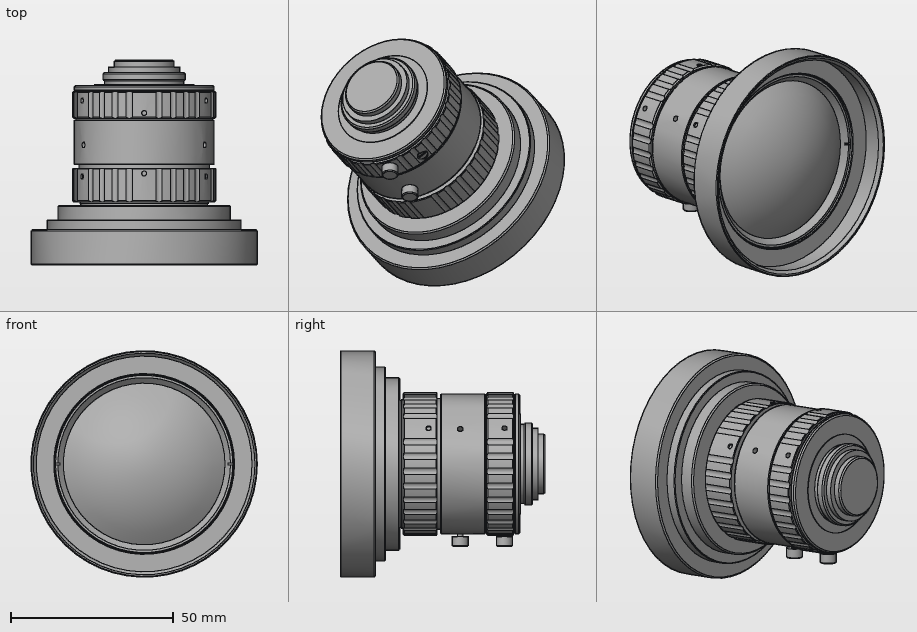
import cadquery as cq
import math


HOOD_R = 34.75
FRONT_STEP_R = 29.8
FRONT_BARREL_R = 26.5
FOCUS_NECK_R = 39.5 / 2
FOCUS_NECK_GROOVE_R = 19.5
RING_R = 22.0
MIDDLE_NECK_R = 20.1
BARREL_R = 21.5
RING_GAP_R = 21.0
REAR_DISC_R = 15.3
MOUNT_NECK_R = 24.4 / 2
MOUNT_FLANGE_R = 12.65
MOUNT_STEP_R = 22.0 / 2
MOUNT_TIP_R = 18.4 / 2

HOOD_END = 10.8
FRONT_STEP_END = 13.85
FRONT_BARREL_END = 18.3
FOCUS_NECK_GROOVE_END = 18.85
FRONT_RING_START = 19.25
FRONT_RING_END = 29.65
MIDDLE_BARREL_START = 30.75
MIDDLE_BARREL_END = 44.5
REAR_RING_START = 44.9
REAR_RING_END = 53.15
REAR_CAP_START = 53.45
REAR_CAP_END = 55.1
REAR_DISC_END = 55.3
MOUNT_NECK_END = 56.4
MOUNT_FLANGE_END = 59.05
MOUNT_STEP_END = 60.7
TOTAL_LENGTH = 62.87

SMALL_CHAMFER = 0.25
LARGE_CHAMFER = 0.45

HOOD_MOUTH_R = 34.0
HOOD_BORE_R = 33.1
HOOD_TAPER_DEPTH = 1.2
HOOD_FLOOR_DEPTH = 6.85
RETAINER_SEAT_R = 27.5
RETAINER_R = 27.2
RETAINER_FACE_DEPTH = 7.6
RETAINER_CONE_R = 26.5
GLASS_R = 24.8
GLASS_EDGE_DEPTH = 9.45
GLASS_APEX_DEPTH = 0.3
SPANNER_SLOT_INNER_R = 25.8
SPANNER_SLOT_WIDTH = 0.65
SPANNER_SLOT_DEPTH = 1.5

FLUTE_COUNT = 30
FLUTE_PITCH = 360 / FLUTE_COUNT
FLUTE_WIDTH = 2.0
FLUTE_CUTTER_R = 3.0 / 2
PLAIN_LAND_ANGLES = (30, 90, 150, 270)

SCREW_HOLE_ANGLES = (30, 150)
LOCK_SCREW_ANGLE = 270
FRONT_SCREW_Y = 27.1
MIDDLE_SCREW_Y = 36.8
REAR_SCREW_Y = 50.4
RING_HOLE_D = 1.57
BARREL_HOLE_D = 1.7
FRONT_HOLE_DEPTH = 0.6
SCREW_HOLE_DEPTH = 3.0
INDEX_MARK_D = 1.5
INDEX_MARK_DEPTH = 0.2
INDEX_MARK_ANGLE = 90
FRONT_MARK_Y = 28.05
REAR_MARK_Y = 46.6

STOP_POCKET_D = 3.4
STOP_POCKET_FLOOR_R = 21.5
STOP_POCKET_Y = 47.8
STOP_POCKET_ANGLE = 242.7
STOP_SLOT_WIDTH = 0.5
STOP_SLOT_LENGTH = 2.5
STOP_SLOT_DEPTH = 0.5

LOCK_HEAD_D = 5.0
LOCK_HEAD_START_R = 22.3
LOCK_HEAD_END_R = 25.3
LOCK_HEAD_CHAMFER = 0.3

CUT_MARGIN = 1.0


def stepped_section(radius, start, end, front_chamfer=0.0, rear_chamfer=0.0):
    """One disc of the lens between two axial stations, with optional chamfered edges."""
    section = cq.Workplane("XZ", origin=(0, start, 0)).circle(radius).extrude(start - end)
    if front_chamfer:
        section = section.faces("<Y").chamfer(front_chamfer)
    if rear_chamfer:
        section = section.faces(">Y").chamfer(rear_chamfer)
    return section


def radial_plane(angle, y, radius):
    """Plane facing outward, with its local X along the lens axis."""
    direction = (math.cos(math.radians(angle)), 0, math.sin(math.radians(angle)))
    origin = (radius * direction[0], y, radius * direction[2])
    return cq.Plane(origin=origin, xDir=(0, 1, 0), normal=direction)


def radial_cylinder(angle, y, diameter, inner_r, outer_r):
    plane = radial_plane(angle, y, inner_r)
    return cq.Workplane(plane).circle(diameter / 2).extrude(outer_r - inner_r)


def grip_ring(start, end):
    """Ring with concave flutes, left plain where it carries marks and screws."""
    ring = stepped_section(RING_R, start, end, LARGE_CHAMFER, SMALL_CHAMFER)
    half_width = FLUTE_WIDTH / 2
    edge_r = math.sqrt(RING_R**2 - half_width**2)
    axis_r = edge_r + math.sqrt(FLUTE_CUTTER_R**2 - half_width**2)
    for index in range(FLUTE_COUNT):
        angle = (index + 0.5) * FLUTE_PITCH
        if angle in PLAIN_LAND_ANGLES:
            continue
        x = axis_r * math.cos(math.radians(angle))
        z = axis_r * math.sin(math.radians(angle))
        flute = cq.Workplane("XZ", origin=(x, start, z)).circle(FLUTE_CUTTER_R).extrude(start - end)
        ring = ring.cut(flute)
    return ring


def hood_hollow():
    """Hood cavity, retainer recess and the space in front of the domed glass."""
    sagitta = GLASS_EDGE_DEPTH - GLASS_APEX_DEPTH
    dome_r = (GLASS_R**2 + sagitta**2) / (2 * sagitta)
    mid_r = GLASS_R / 2
    mid_depth = GLASS_APEX_DEPTH + dome_r - math.sqrt(dome_r**2 - mid_r**2)
    return (
        cq.Workplane("XY")
        .moveTo(0, -CUT_MARGIN)
        .lineTo(HOOD_MOUTH_R, -CUT_MARGIN)
        .lineTo(HOOD_MOUTH_R, 0)
        .lineTo(HOOD_BORE_R, HOOD_TAPER_DEPTH)
        .lineTo(HOOD_BORE_R, HOOD_FLOOR_DEPTH)
        .lineTo(RETAINER_SEAT_R + SMALL_CHAMFER, HOOD_FLOOR_DEPTH)
        .lineTo(RETAINER_SEAT_R, HOOD_FLOOR_DEPTH + SMALL_CHAMFER)
        .lineTo(RETAINER_SEAT_R, RETAINER_FACE_DEPTH + SMALL_CHAMFER)
        .lineTo(RETAINER_R, RETAINER_FACE_DEPTH)
        .lineTo(RETAINER_CONE_R, RETAINER_FACE_DEPTH)
        .lineTo(GLASS_R, GLASS_EDGE_DEPTH)
        .threePointArc((mid_r, mid_depth), (0, GLASS_APEX_DEPTH))
        .close()
        .revolve(360, (0, 0, 0), (0, 1, 0))
    )


def spanner_slots():
    """Pair of slots across the retainer, on the +X and -X sides."""
    length = RETAINER_R - SPANNER_SLOT_INNER_R
    center_x = (RETAINER_R + SPANNER_SLOT_INNER_R) / 2
    return (
        cq.Workplane("XZ", origin=(0, RETAINER_FACE_DEPTH, 0))
        .pushPoints([(-center_x, 0), (center_x, 0)])
        .rect(length, SPANNER_SLOT_WIDTH)
        .extrude(-SPANNER_SLOT_DEPTH)
    )


def stop_screw_recess():
    """Round flat-floored pocket with a screwdriver slot across its floor."""
    pocket = radial_cylinder(
        STOP_POCKET_ANGLE, STOP_POCKET_Y, STOP_POCKET_D, STOP_POCKET_FLOOR_R, RING_R + CUT_MARGIN
    )
    slot = (
        cq.Workplane(radial_plane(STOP_POCKET_ANGLE, STOP_POCKET_Y, STOP_POCKET_FLOOR_R))
        .rect(STOP_SLOT_WIDTH, STOP_SLOT_LENGTH)
        .extrude(-STOP_SLOT_DEPTH)
    )
    return pocket.union(slot)


def make_lock_screw(y, shank_d, shank_start_r):
    """Lock screw below the lens, with a shank that fills its hole."""
    shank = radial_cylinder(LOCK_SCREW_ANGLE, y, shank_d, shank_start_r, LOCK_HEAD_START_R)
    head = radial_cylinder(LOCK_SCREW_ANGLE, y, LOCK_HEAD_D, LOCK_HEAD_START_R, LOCK_HEAD_END_R)
    head = head.faces("<Z").chamfer(LOCK_HEAD_CHAMFER)
    return shank.union(head)


def make_housing():
    housing = stepped_section(HOOD_R, 0, HOOD_END, SMALL_CHAMFER, LARGE_CHAMFER)
    sections = [
        stepped_section(FRONT_STEP_R, HOOD_END, FRONT_STEP_END, 0, SMALL_CHAMFER),
        stepped_section(FRONT_BARREL_R, FRONT_STEP_END, FRONT_BARREL_END, 0, LARGE_CHAMFER),
        stepped_section(FOCUS_NECK_GROOVE_R, FRONT_BARREL_END, FOCUS_NECK_GROOVE_END),
        stepped_section(FOCUS_NECK_R, FOCUS_NECK_GROOVE_END, FRONT_RING_START),
        grip_ring(FRONT_RING_START, FRONT_RING_END),
        stepped_section(MIDDLE_NECK_R, FRONT_RING_END, MIDDLE_BARREL_START),
        stepped_section(BARREL_R, MIDDLE_BARREL_START, MIDDLE_BARREL_END, SMALL_CHAMFER, SMALL_CHAMFER),
        stepped_section(RING_GAP_R, MIDDLE_BARREL_END, REAR_RING_START),
        grip_ring(REAR_RING_START, REAR_RING_END),
        stepped_section(RING_GAP_R, REAR_RING_END, REAR_CAP_START),
        stepped_section(BARREL_R, REAR_CAP_START, REAR_CAP_END, SMALL_CHAMFER, LARGE_CHAMFER),
        stepped_section(REAR_DISC_R, REAR_CAP_END, REAR_DISC_END),
        stepped_section(MOUNT_NECK_R, REAR_DISC_END, MOUNT_NECK_END),
        stepped_section(MOUNT_FLANGE_R, MOUNT_NECK_END, MOUNT_FLANGE_END, LARGE_CHAMFER, LARGE_CHAMFER),
        stepped_section(MOUNT_STEP_R, MOUNT_FLANGE_END, MOUNT_STEP_END),
        stepped_section(MOUNT_TIP_R, MOUNT_STEP_END, TOTAL_LENGTH, 0, LARGE_CHAMFER),
    ]
    for section in sections:
        housing = housing.union(section)

    housing = housing.cut(hood_hollow()).cut(spanner_slots()).cut(stop_screw_recess())

    for angle in SCREW_HOLE_ANGLES:
        for y, diameter, surface_r, depth in (
            (FRONT_SCREW_Y, RING_HOLE_D, RING_R, FRONT_HOLE_DEPTH),
            (MIDDLE_SCREW_Y, BARREL_HOLE_D, BARREL_R, SCREW_HOLE_DEPTH),
            (REAR_SCREW_Y, RING_HOLE_D, RING_R, SCREW_HOLE_DEPTH),
        ):
            hole = radial_cylinder(angle, y, diameter, surface_r - depth, surface_r + CUT_MARGIN)
            housing = housing.cut(hole)

    for y in (FRONT_MARK_Y, REAR_MARK_Y):
        mark = radial_cylinder(
            INDEX_MARK_ANGLE, y, INDEX_MARK_D, RING_R - INDEX_MARK_DEPTH, RING_R + CUT_MARGIN
        )
        housing = housing.cut(mark)

    rear_screw = make_lock_screw(REAR_SCREW_Y, RING_HOLE_D, RING_R - SCREW_HOLE_DEPTH)
    housing = housing.union(rear_screw)

    middle_hole = radial_cylinder(
        LOCK_SCREW_ANGLE, MIDDLE_SCREW_Y, BARREL_HOLE_D, BARREL_R - SCREW_HOLE_DEPTH, BARREL_R + CUT_MARGIN
    )
    return housing.cut(middle_hole)


housing = make_housing()
lock_screw = make_lock_screw(MIDDLE_SCREW_Y, BARREL_HOLE_D, BARREL_R - SCREW_HOLE_DEPTH)

result = cq.Compound.makeCompound([housing.solids().val(), lock_screw.solids().val()])